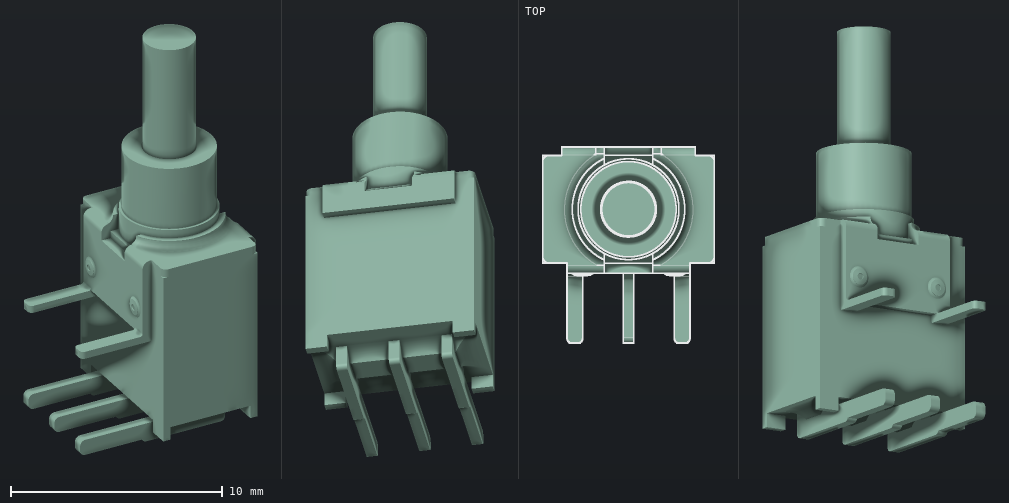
import cadquery as cq
import math


BODY_WIDTH = 8.13
BODY_DEPTH = 5.1
BODY_TOP = 9.84
FOOT_BOTTOM = 0.55
FLOOR_Z = 1.23
FOOT_WIDTH = 1.03
FOOT_DEPTH = 0.4
CORNER_RADIUS = 0.3
CORNER_HEIGHT = 0.42
BODY_FRONT = -BODY_DEPTH / 2
BODY_BACK = BODY_DEPTH / 2

MOUND_LENGTH = 5.63
MOUND_WIDTH = 1.27
MOUND_DEPTH = 0.44
MOUND_FLARE = 0.91
MOUND_FLARE_RADIUS = (MOUND_FLARE**2 + MOUND_DEPTH**2) / (2 * MOUND_DEPTH)

BUSHING_DIAMETER = 4.52
BUSHING_TOP = 13.95
SHOULDER_DIAMETER = 4.78
SHOULDER_TOP = 10.69
COLLAR_DIAMETER = 5.33
COLLAR_TOP = 10.25
COLLAR_FILLET = 0.38

SLOT_WIDTH = 2.28
SLOT_FLOOR = 9.42
PLATE_SLOT_FLOOR = 9.05

PLATE_WIDTH = 5.83
PLATE_FRONT = -3.03
PLATE_BOTTOM = 5.83
PLATE_BEND_RADIUS = 0.38
TIP_Y = -6.35
LEG_WIDTH = 0.75
LEG_THICKNESS = 0.38
LEG_BEND_RADIUS = 0.14
LEG_BOTTOM = PLATE_BOTTOM - LEG_THICKNESS
LEG_TIP_RADIUS = 0.24

RIVET_SPACING = 4.36
RIVET_Z = 7.08
RIVET_DIAMETER = 1.03
RIVET_RIM_HEIGHT = 0.05
RIVET_CROWN_DIAMETER = 0.8
RIVET_CROWN_BASE = 0.08
RIVET_HEIGHT = 0.12
RIVET_DIMPLE_DIAMETER = 0.32
RIVET_DIMPLE_FLOOR = 0.05

TAB_WIDTH = 6.35
TAB_BACK = 2.95
TAB_BOTTOM = 8.03
TAB_BEND_RADIUS = 0.38
WEB_WIDTH = 3.11
WEB_CHAMFER = 0.32

TERMINAL_PITCH = 2.54
TERMINAL_WIDTH = 0.52
ROOT_BACK = 1.49
ROOT_FRONT = -1.47
STEP_Y = -3.0
ROOT_RADIUS = 0.24
SHANK_BOTTOM = 0.15
SHANK_TOP = 0.97
SHANK_TIP_RADIUS = 0.28

PLUNGER_DIAMETER = 2.54
PLUNGER_TOP = 19.83
BORE_DIAMETER = 2.64
BORE_BOTTOM = BODY_TOP


def centred_block(width, y_range, z_range):
    """Box centred on X = 0, given by its width and its limits along Y and Z."""
    y0, y1 = y_range
    z0, z1 = z_range
    return cq.Workplane("XY").box(width, y1 - y0, z1 - z0, centered=(True, False, False)).translate((0, y0, z0))


def cylinder(diameter, z_range):
    """Cylinder on the Z axis between two heights."""
    z0, z1 = z_range
    return cq.Workplane("XY").workplane(offset=z0).circle(diameter / 2).extrude(z1 - z0)


def housing_block():
    """Block with rounded top corners, standing on four corner feet."""
    depth_range = (BODY_FRONT, BODY_BACK)
    ledge_z = BODY_TOP - CORNER_HEIGHT
    top = centred_block(BODY_WIDTH, depth_range, (ledge_z, BODY_TOP)).edges("|Z").fillet(CORNER_RADIUS)
    body = centred_block(BODY_WIDTH, depth_range, (FOOT_BOTTOM, ledge_z)).union(top)
    foot_gap_z = (FOOT_BOTTOM, FLOOR_Z)
    front_gap = centred_block(BODY_WIDTH - 2 * FOOT_WIDTH, depth_range, foot_gap_z)
    side_gap = centred_block(BODY_WIDTH, (BODY_FRONT + FOOT_DEPTH, BODY_BACK - FOOT_DEPTH), foot_gap_z)
    return body.cut(front_gap).cut(side_gap)


def mound_section(plane, flat_width, length):
    """Extruded section of the mound: a flat underside with concave flanks that run out into the floor."""
    half_flat = flat_width / 2
    half_base = half_flat + MOUND_FLARE
    underside = FLOOR_Z - MOUND_DEPTH
    return (
        cq.Workplane(plane)
        .moveTo(-half_base, FLOOR_Z)
        .radiusArc((-half_flat, underside), MOUND_FLARE_RADIUS)
        .lineTo(half_flat, underside)
        .radiusArc((half_base, FLOOR_Z), MOUND_FLARE_RADIUS)
        .close()
        .extrude(length / 2, both=True)
    )


def sealing_mound():
    """Low oblong mound below the floor, flared on all four sides with mitred corners."""
    along = mound_section("YZ", MOUND_WIDTH, MOUND_LENGTH + 2 * MOUND_FLARE)
    across = mound_section("XZ", MOUND_LENGTH, MOUND_WIDTH + 2 * MOUND_FLARE)
    return along.intersect(across)


def front_plate():
    """Front bracket plate with a rounded top edge."""
    plate = centred_block(PLATE_WIDTH, (PLATE_FRONT, BODY_FRONT), (PLATE_BOTTOM, BODY_TOP))
    return plate.faces(">Z").edges("<Y").fillet(PLATE_BEND_RADIUS)


def bracket_leg():
    """L-shaped leg at the left end of the front plate, running forward to a rounded tip."""
    leg = (
        cq.Workplane("YZ")
        .workplane(offset=-PLATE_WIDTH / 2)
        .moveTo(BODY_FRONT, LEG_BOTTOM + LEG_BEND_RADIUS)
        .radiusArc((BODY_FRONT - LEG_BEND_RADIUS, LEG_BOTTOM), LEG_BEND_RADIUS)
        .lineTo(TIP_Y, LEG_BOTTOM)
        .lineTo(TIP_Y, PLATE_BOTTOM)
        .lineTo(PLATE_FRONT - LEG_BEND_RADIUS, PLATE_BOTTOM)
        .radiusArc((PLATE_FRONT, PLATE_BOTTOM + LEG_BEND_RADIUS), -LEG_BEND_RADIUS)
        .lineTo(BODY_FRONT, PLATE_BOTTOM + LEG_BEND_RADIUS)
        .close()
        .extrude(LEG_WIDTH)
    )
    return leg.faces("<Y").edges("|Z").fillet(LEG_TIP_RADIUS)


def rivet_head():
    """Low rivet head at X = 0: a sloped rim, a stepped-up crown and a central dimple."""
    crown_radius = RIVET_CROWN_DIAMETER / 2
    dimple_radius = RIVET_DIMPLE_DIAMETER / 2
    return (
        cq.Workplane("XY")
        .moveTo(0, 0)
        .lineTo(RIVET_DIAMETER / 2, 0)
        .lineTo(crown_radius, -RIVET_RIM_HEIGHT)
        .lineTo(crown_radius, -RIVET_CROWN_BASE)
        .lineTo(dimple_radius, -RIVET_HEIGHT)
        .lineTo(dimple_radius, -RIVET_DIMPLE_FLOOR)
        .lineTo(0, -RIVET_DIMPLE_FLOOR)
        .close()
        .revolve(360, (0, 0), (0, 1))
        .translate((0, PLATE_FRONT, RIVET_Z))
    )


def back_tab():
    """Back bracket tab, rounded along its top edge and chamfered across its middle."""
    depth_range = (BODY_BACK, TAB_BACK)
    height_range = (TAB_BOTTOM, BODY_TOP)
    tab = centred_block(TAB_WIDTH, depth_range, height_range).faces(">Z").edges(">Y").fillet(TAB_BEND_RADIUS)
    web = centred_block(WEB_WIDTH, depth_range, height_range).faces(">Z").edges(">Y").chamfer(WEB_CHAMFER)
    return tab.cut(centred_block(WEB_WIDTH, depth_range, height_range)).union(web)


def collar():
    """Collar around the bushing, flaring into the housing top with a concave fillet."""
    collar_radius = COLLAR_DIAMETER / 2
    flare_radius = collar_radius + COLLAR_FILLET
    ring = (
        cq.Workplane("XZ")
        .moveTo(0, BODY_TOP)
        .lineTo(flare_radius, BODY_TOP)
        .radiusArc((collar_radius, BODY_TOP + COLLAR_FILLET), COLLAR_FILLET)
        .lineTo(collar_radius, COLLAR_TOP)
        .lineTo(0, COLLAR_TOP)
        .close()
        .revolve(360, (0, 0), (0, 1))
    )
    support = (PLATE_FRONT + PLATE_BEND_RADIUS, TAB_BACK - WEB_CHAMFER)
    return ring.intersect(centred_block(BODY_WIDTH, support, (BODY_TOP, COLLAR_TOP)))


def collar_slot():
    """Cutter for the front and back slots, which drop lower in the bracket plates than in the block."""
    slot = centred_block(SLOT_WIDTH, (PLATE_FRONT, TAB_BACK), (SLOT_FLOOR, COLLAR_TOP))
    slot = slot.cut(cylinder(SHOULDER_DIAMETER, (SLOT_FLOOR, COLLAR_TOP)))
    for plate_range in ((PLATE_FRONT, BODY_FRONT), (BODY_BACK, TAB_BACK)):
        slot = slot.union(centred_block(SLOT_WIDTH, plate_range, (PLATE_SLOT_FLOOR, SLOT_FLOOR)))
    return slot


def terminal():
    """Flat terminal at X = 0, with a deep root under the floor and a narrower shank."""
    step_run = math.sqrt(ROOT_RADIUS**2 - (ROOT_RADIUS - SHANK_BOTTOM) ** 2)
    blank = (
        cq.Workplane("YZ")
        .workplane(offset=-TERMINAL_WIDTH / 2)
        .moveTo(ROOT_BACK, FLOOR_Z)
        .lineTo(ROOT_FRONT, FLOOR_Z)
        .lineTo(ROOT_FRONT, SHANK_TOP)
        .lineTo(TIP_Y, SHANK_TOP)
        .lineTo(TIP_Y, SHANK_BOTTOM)
        .lineTo(STEP_Y, SHANK_BOTTOM)
        .radiusArc((STEP_Y + step_run, 0), -ROOT_RADIUS)
        .lineTo(ROOT_BACK - ROOT_RADIUS, 0)
        .radiusArc((ROOT_BACK, ROOT_RADIUS), -ROOT_RADIUS)
        .close()
        .extrude(TERMINAL_WIDTH)
    )
    return blank.faces("<Y").edges("|X").fillet(SHANK_TIP_RADIUS)


def make_housing():
    """Switch housing with its bushing, bracket, rivet heads and terminals."""
    body = housing_block().union(sealing_mound()).union(front_plate()).union(back_tab()).union(collar())
    body = body.cut(collar_slot())
    body = body.union(cylinder(SHOULDER_DIAMETER, (SLOT_FLOOR, SHOULDER_TOP)))
    body = body.union(cylinder(BUSHING_DIAMETER, (SHOULDER_TOP, BUSHING_TOP)))

    left_leg = bracket_leg()
    body = body.union(left_leg).union(left_leg.mirror("YZ"))
    for side in (-1, 1):
        body = body.union(rivet_head().translate((side * RIVET_SPACING / 2, 0, 0)))
    for position in (-1, 0, 1):
        body = body.union(terminal().translate((position * TERMINAL_PITCH, 0, 0)))
    return body.cut(cylinder(BORE_DIAMETER, (BORE_BOTTOM, BUSHING_TOP)))


def make_plunger():
    """Round plunger resting on the bottom of the bushing bore."""
    return cylinder(PLUNGER_DIAMETER, (BORE_BOTTOM, PLUNGER_TOP))


housing = make_housing()
plunger = make_plunger()
result = cq.Compound.makeCompound([housing.val(), plunger.val()])